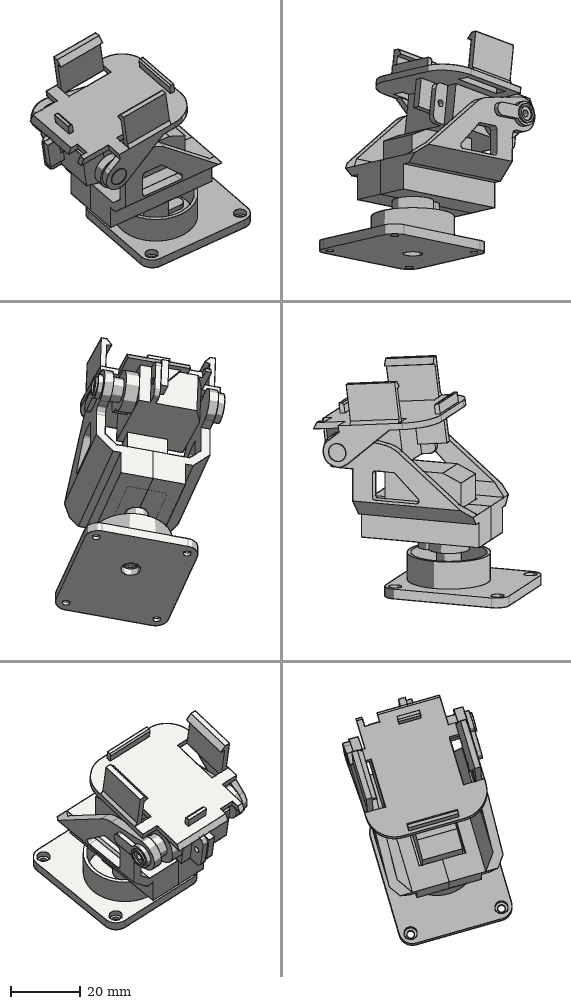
import cadquery as cq
import math


PIVOT_Y = -27.2
PIVOT_Z = 42.65
TILT_DEGREES = 7.2

BASE_WIDTH = 33.7
BASE_LENGTH = 38.0
BASE_BACK = 23.3
BASE_THICKNESS = 2.9
BASE_CORNER_RADIUS = 3.95
BASE_HOLE_INSET = 3.25
BASE_HOLE_RADIUS = 1.1
BASE_COUNTERBORE_RADIUS = 1.9
BASE_COUNTERBORE_DEPTH = 1.8
RING_RADIUS = 12.05
RING_WALL = 1.05
RING_TOP = 10.95

SERVO_WIDTH = 12.0
SERVO_LENGTH = 23.5
SERVO_HEIGHT = 19.9
SERVO_BOSS_RADIUS = SERVO_WIDTH / 2
SERVO_BOSS_HEIGHT = 3.95
SMALL_BOSS_RADIUS = 3.4
SMALL_BOSS_OFFSET = 5.8
TAPER_LENGTH = 5.6
TAPER_HEIGHT = 2.45
EAR_SPAN = 32.5
EAR_START = 3.4
EAR_THICKNESS = 1.7
EAR_CORNER_RADIUS = 2.0
EAR_HOLE_SPACING = 27.7
EAR_HOLE_RADIUS = 1.0
PAN_SERVO_Z = 15.9
TILT_SERVO_X = -6.9
SERVO_CENTER = SERVO_BOSS_RADIUS - SERVO_LENGTH / 2

HUB_RADIUS = 3.55
PAN_HORN_ARM_LENGTH = 9.25
TILT_HORN_ARM_LENGTH = 10.95
HORN_ARM_WIDTH = 3.9
HORN_ARM_THICKNESS = 1.4
HORN_RIM_RADIUS = 2.8
HORN_RIM_HEIGHT = 0.6
HORN_RECESS_RADIUS = 2.15
HORN_SCREW_RADIUS = 1.0
PAN_BOSS_FACE_Z = PAN_SERVO_Z - SERVO_BOSS_HEIGHT
TILT_BOSS_FACE_X = TILT_SERVO_X - SERVO_BOSS_HEIGHT

BRACKET_FRONT = -23.3
BRACKET_BACK = 12.9
BRACKET_BOTTOM = 15.6
BLOCK_HALF_WIDTH = 9.7
BLOCK_SHOULDER_Z = 23.05
DECK_Z = 25.7
DECK_HALF_WIDTH = 11.0
SHOULDER_HALF_WIDTH = 12.05
ARM_INSIDE = 14.4
ARM_OUTSIDE = 17.1
ARM_EYE_RADIUS = 5.05
ARM_APEX_Y = -11.05
ARM_APEX_Z = 45.1
ARM_APEX_RADIUS = 9.05
ARM_THROAT_RADIUS = 1.95
WINDOW_FRONT = -17.15
WINDOW_BACK = -2.9
WINDOW_APEX_Y = -10.4
WINDOW_BOTTOM = 28.9
WINDOW_TOP = 37.6
WINDOW_BACK_HEIGHT = 1.3
WINDOW_CORNER_RADIUS = 0.9
POCKET_WIDTH = 14.0

PIN_RADIUS = 2.65
PIN_END = 19.35

PLATE_CENTER_X = 1.15
PLATE_WIDTH = 36.0
PLATE_NOSE_WIDTH = 25.05
PLATE_BACK = 29.8
PLATE_SHOULDER = 1.2
PLATE_FRONT = -8.75
PLATE_BOTTOM = SERVO_WIDTH / 2
PLATE_THICKNESS = 1.9
PLATE_TOP = PLATE_BOTTOM + PLATE_THICKNESS
PLATE_BACK_RADIUS = 8.75
PLATE_BEVEL = 1.2
NOTCH_LEFT = 7.4
NOTCH_WIDTH = 4.5
NOTCH_BACK = -5.25

CLIP_FRONT = 4.85
CLIP_BACK = 19.95
CLIP_OUTSIDE = 17.15
CLIP_THICKNESS = 1.7
CLIP_TOP = 19.75
CLIP_HOOK_REACH = 1.5
CLIP_HOOK_SLOPE = 1.8
CLIP_HOOK_UNDERCUT = 0.4
CLIP_FOOT_HEIGHT = 1.05
SLOT_INSIDE = 11.7

STOP_THICKNESS = 1.5
STOP_HEIGHT = 3.0
STOP_CHAMFER = 0.5
BACK_STOP_Y = 27.4
BACK_STOP_CENTER_X = 1.0
BACK_STOP_WIDTH = 15.1
FRONT_STOP_Y = -4.45
FRONT_STOP_CENTER_X = -1.05
FRONT_STOP_WIDTH = 6.65

POST_THICKNESS = 2.1
POST_BOTTOM = -2.65
POST_BACK = 26.55
POST_FRONT = -10.95
GUSSET_WIDTH = 4.65
GUSSET_DROP = 5.45
GUSSET_THICKNESS = 1.0
LUG_RADIUS = 4.4
LUG_INSIDE = ARM_OUTSIDE
LUG_OUTSIDE = PLATE_CENTER_X + PLATE_WIDTH / 2
LUG_ROOT_FRONT = PLATE_SHOULDER
LUG_ROOT_BACK = 16.8


def block(x0, x1, y0, y1, z0, z1):
    """Box between two values along each axis."""
    size = (x1 - x0, y1 - y0, z1 - z0)
    return cq.Workplane("XY").box(*size, centered=False).translate((x0, y0, z0))


def x_cylinder(radius, x0, x1, y=0.0, z=0.0):
    """Cylinder along X around the line through (y, z)."""
    return cq.Workplane("YZ", origin=(x0, 0, 0)).center(y, z).circle(radius).extrude(x1 - x0)


def tangent_point(point, center, radius, side):
    """Point where a line from `point` touches a circle; side = 1 or -1 picks one of the two."""
    away_y = point[0] - center[0]
    away_z = point[1] - center[1]
    bearing = math.atan2(away_z, away_y)
    bearing += side * math.acos(radius / math.hypot(away_y, away_z))
    return (center[0] + radius * math.cos(bearing), center[1] + radius * math.sin(bearing))


def tilted(head_part):
    """Move a part from the head's own frame to its tilted place on the pivot."""
    turned = head_part.rotate((0, 0, 0), (1, 0, 0), TILT_DEGREES)
    return turned.translate((0, PIVOT_Y, PIVOT_Z))


def make_base():
    center_y = BASE_BACK - BASE_LENGTH / 2
    plate = (
        cq.Workplane("XY")
        .rect(BASE_WIDTH, BASE_LENGTH)
        .extrude(BASE_THICKNESS)
        .edges("|Z")
        .fillet(BASE_CORNER_RADIUS)
        .faces(">Z")
        .workplane()
        .rect(BASE_WIDTH - 2 * BASE_HOLE_INSET, BASE_LENGTH - 2 * BASE_HOLE_INSET, forConstruction=True)
        .vertices()
        .cboreHole(2 * BASE_HOLE_RADIUS, 2 * BASE_COUNTERBORE_RADIUS, BASE_COUNTERBORE_DEPTH)
        .translate((0, center_y, 0))
    )
    ring = (
        cq.Workplane("XY", origin=(0, 0, BASE_THICKNESS))
        .circle(RING_RADIUS)
        .circle(RING_RADIUS - RING_WALL)
        .extrude(RING_TOP - BASE_THICKNESS)
    )
    rim_hole = cq.Workplane("XY").circle(HORN_RIM_RADIUS).extrude(BASE_THICKNESS)
    return plate.union(ring).cut(rim_hole)


def make_servo():
    half_width = SERVO_WIDTH / 2
    back = SERVO_BOSS_RADIUS
    body = (
        cq.Workplane("YZ", origin=(-half_width, 0, 0))
        .polyline([
            (back - SERVO_LENGTH, 0),
            (back, 0),
            (back, SERVO_HEIGHT - TAPER_HEIGHT),
            (back - TAPER_LENGTH, SERVO_HEIGHT),
            (back - SERVO_LENGTH, SERVO_HEIGHT),
        ])
        .close()
        .extrude(SERVO_WIDTH)
    )
    boss = cq.Workplane("XY").circle(SERVO_BOSS_RADIUS).extrude(-SERVO_BOSS_HEIGHT)
    small_boss = (
        cq.Workplane("XY")
        .center(0, -SMALL_BOSS_OFFSET / 2)
        .slot2D(SMALL_BOSS_OFFSET + 2 * SMALL_BOSS_RADIUS, 2 * SMALL_BOSS_RADIUS, 90)
        .extrude(-SERVO_BOSS_HEIGHT)
    )
    ears = (
        cq.Workplane("XY", origin=(0, SERVO_CENTER, EAR_START))
        .rect(SERVO_WIDTH, EAR_SPAN)
        .extrude(EAR_THICKNESS)
        .edges("|Z")
        .fillet(EAR_CORNER_RADIUS)
        .faces(">Z")
        .workplane()
        .rarray(0.65, EAR_HOLE_SPACING, 1, 2)
        .hole(2 * EAR_HOLE_RADIUS)
    )
    return ears.union(body).union(boss).union(small_boss)


def make_horn(hub_length, arm_length):
    hub = cq.Workplane("XY").circle(HUB_RADIUS).extrude(-hub_length)
    arm = (
        cq.Workplane("XY", origin=(0, 0, -hub_length))
        .center(0, (arm_length - HORN_ARM_WIDTH / 2) / 2)
        .slot2D(arm_length + HORN_ARM_WIDTH / 2, HORN_ARM_WIDTH, 90)
        .extrude(HORN_ARM_THICKNESS)
    )
    rim = (
        cq.Workplane("XY", origin=(0, 0, -hub_length))
        .circle(HORN_RIM_RADIUS)
        .circle(HORN_RECESS_RADIUS)
        .extrude(-HORN_RIM_HEIGHT)
    )
    screw_hole = cq.Workplane("XY").circle(HORN_SCREW_RADIUS).extrude(-hub_length)
    return hub.union(arm).union(rim).cut(screw_hole)


def bracket_side_shape():
    """Side shape of the bracket, extruded over its full width along X."""
    apex = (ARM_APEX_Y, ARM_APEX_Z)
    touch = tangent_point(apex, (PIVOT_Y, PIVOT_Z), ARM_EYE_RADIUS, 1)
    eye_bottom = PIVOT_Z - ARM_EYE_RADIUS
    return (
        cq.Workplane("YZ", origin=(-ARM_OUTSIDE, 0, 0))
        .moveTo(BRACKET_FRONT, BRACKET_BOTTOM)
        .lineTo(BRACKET_BACK, BRACKET_BOTTOM)
        .lineTo(BRACKET_BACK, DECK_Z)
        .lineTo(*apex)
        .lineTo(*touch)
        .threePointArc((PIVOT_Y - ARM_EYE_RADIUS, PIVOT_Z), (PIVOT_Y, eye_bottom))
        .lineTo(BRACKET_FRONT, eye_bottom)
        .close()
        .extrude(2 * ARM_OUTSIDE)
        .edges(cq.NearestToPointSelector((0, *apex)))
        .fillet(ARM_APEX_RADIUS)
    )


def bracket_window():
    """Window through both arms, its back edge sloping up to the front."""
    return (
        cq.Workplane("YZ", origin=(-ARM_OUTSIDE, 0, 0))
        .polyline([
            (WINDOW_FRONT, WINDOW_BOTTOM),
            (WINDOW_BACK, WINDOW_BOTTOM),
            (WINDOW_BACK, WINDOW_BOTTOM + WINDOW_BACK_HEIGHT),
            (WINDOW_APEX_Y, WINDOW_TOP),
            (WINDOW_FRONT, WINDOW_TOP),
        ])
        .close()
        .extrude(2 * ARM_OUTSIDE)
        .edges("|X")
        .fillet(WINDOW_CORNER_RADIUS)
    )


def make_bracket_half(side, servo):
    """Half of the bracket on the -X side (side = -1) or the +X side (side = 1)."""
    arm_top = ARM_APEX_Z + ARM_EYE_RADIUS
    half = (
        cq.Workplane("XZ", origin=(0, BRACKET_BACK, 0))
        .polyline([
            (0, BRACKET_BOTTOM),
            (side * BLOCK_HALF_WIDTH, BRACKET_BOTTOM),
            (side * BLOCK_HALF_WIDTH, BLOCK_SHOULDER_Z),
            (side * SHOULDER_HALF_WIDTH, BLOCK_SHOULDER_Z),
            (side * ARM_OUTSIDE, BLOCK_SHOULDER_Z + ARM_OUTSIDE - SHOULDER_HALF_WIDTH),
            (side * ARM_OUTSIDE, arm_top),
            (side * ARM_INSIDE, arm_top),
            (side * ARM_INSIDE, DECK_Z + ARM_INSIDE - DECK_HALF_WIDTH),
            (side * DECK_HALF_WIDTH, DECK_Z),
            (0, DECK_Z),
        ])
        .close()
        .extrude(BRACKET_BACK - PIVOT_Y + ARM_EYE_RADIUS)
    )
    pocket = block(
        -POCKET_WIDTH / 2,
        POCKET_WIDTH / 2,
        SERVO_BOSS_RADIUS - SERVO_LENGTH,
        SERVO_BOSS_RADIUS,
        PAN_SERVO_Z + EAR_START,
        DECK_Z,
    )
    half = half.intersect(bracket_side_shape()).cut(bracket_window()).cut(pocket)
    ear_slot = (
        cq.Workplane("XY", origin=(0, SERVO_CENTER, PAN_SERVO_Z + EAR_START))
        .rect(SERVO_WIDTH, EAR_SPAN)
        .extrude(EAR_THICKNESS)
    )
    return half.cut(servo).cut(ear_slot)


def clip_outline(side):
    """Cross-section of a side clip, with its foot and its inward hook."""
    outside = CLIP_OUTSIDE
    inside = CLIP_OUTSIDE - CLIP_THICKNESS
    hook_tip = inside - CLIP_HOOK_REACH
    tip_z = CLIP_TOP - CLIP_HOOK_SLOPE
    points = [
        (inside, PLATE_BOTTOM),
        (PLATE_WIDTH / 2, PLATE_BOTTOM),
        (PLATE_WIDTH / 2, PLATE_TOP),
        (outside, PLATE_TOP + CLIP_FOOT_HEIGHT),
        (outside, CLIP_TOP),
        (inside, CLIP_TOP),
        (hook_tip, tip_z),
        (inside, tip_z - CLIP_HOOK_UNDERCUT),
    ]
    return [(PLATE_CENTER_X + side * x, z) for x, z in points]


def make_clip(side):
    return (
        cq.Workplane("XZ", origin=(0, CLIP_BACK, 0))
        .polyline(clip_outline(side))
        .close()
        .extrude(CLIP_BACK - CLIP_FRONT)
    )


def make_slot(side):
    inner = PLATE_CENTER_X + side * SLOT_INSIDE
    outer = PLATE_CENTER_X + side * (CLIP_OUTSIDE - CLIP_THICKNESS)
    return block(min(inner, outer), max(inner, outer), CLIP_FRONT, CLIP_BACK, PLATE_BOTTOM, PLATE_TOP)


def make_stop(center_x, y, width, inner_edge):
    """End stop whose top is chamfered along the edge that faces the phone."""
    left = center_x - width / 2
    stop = block(left, left + width, y, y + STOP_THICKNESS, PLATE_TOP, PLATE_TOP + STOP_HEIGHT)
    return stop.faces(">Z").edges(inner_edge).chamfer(STOP_CHAMFER)


def plate_panel():
    left = PLATE_CENTER_X - PLATE_WIDTH / 2
    nose_left = PLATE_CENTER_X - PLATE_NOSE_WIDTH / 2
    wide = (
        block(left, left + PLATE_WIDTH, PLATE_SHOULDER, PLATE_BACK, PLATE_BOTTOM, PLATE_TOP)
        .edges("|Z and >Y")
        .fillet(PLATE_BACK_RADIUS)
    )
    nose = (
        cq.Workplane("YZ", origin=(nose_left, 0, 0))
        .polyline([
            (PLATE_SHOULDER, PLATE_BOTTOM),
            (PLATE_FRONT, PLATE_BOTTOM),
            (PLATE_FRONT + PLATE_BEVEL, PLATE_TOP),
            (PLATE_SHOULDER, PLATE_TOP),
        ])
        .close()
        .extrude(PLATE_NOSE_WIDTH)
    )
    notch = block(
        NOTCH_LEFT, NOTCH_LEFT + NOTCH_WIDTH, PLATE_FRONT, NOTCH_BACK, PLATE_BOTTOM, PLATE_TOP
    )
    return wide.union(nose).cut(notch)


def servo_posts():
    """Posts behind the tilt servo's ears, the front one with a gusset."""
    left = TILT_SERVO_X + EAR_START + EAR_THICKNESS
    right = left + POST_THICKNESS
    servo_front = -SERVO_BOSS_RADIUS
    servo_back = SERVO_LENGTH - SERVO_BOSS_RADIUS
    back_post = block(left, right, servo_back, POST_BACK, POST_BOTTOM, PLATE_BOTTOM)
    front_post = block(left, right, POST_FRONT, servo_front, POST_BOTTOM, PLATE_BOTTOM)
    gusset = (
        cq.Workplane("XZ", origin=(0, servo_front, 0))
        .polyline([
            (right, PLATE_BOTTOM),
            (right + GUSSET_WIDTH, PLATE_BOTTOM),
            (right, PLATE_BOTTOM - GUSSET_DROP),
        ])
        .close()
        .extrude(GUSSET_THICKNESS)
    )
    return back_post.union(front_post).union(gusset)


def pivot_lug():
    """Lug under the +X edge of the plate that turns on the bracket's pin."""
    root_front = (LUG_ROOT_FRONT, PLATE_BOTTOM)
    root_back = (LUG_ROOT_BACK, PLATE_BOTTOM)
    pivot = (0, 0)
    return (
        cq.Workplane("YZ", origin=(LUG_INSIDE, 0, 0))
        .moveTo(*root_back)
        .lineTo(*root_front)
        .lineTo(*tangent_point(root_front, pivot, LUG_RADIUS, 1))
        .threePointArc((0, -LUG_RADIUS), tangent_point(root_back, pivot, LUG_RADIUS, -1))
        .close()
        .extrude(LUG_OUTSIDE - LUG_INSIDE)
        .cut(x_cylinder(PIN_RADIUS, LUG_INSIDE, LUG_OUTSIDE))
    )


def make_phone_plate():
    plate = plate_panel()
    for side in (-1, 1):
        plate = plate.cut(make_slot(side)).union(make_clip(side))
    plate = plate.union(make_stop(BACK_STOP_CENTER_X, BACK_STOP_Y, BACK_STOP_WIDTH, "<Y"))
    plate = plate.union(make_stop(FRONT_STOP_CENTER_X, FRONT_STOP_Y, FRONT_STOP_WIDTH, ">Y"))
    return plate.union(servo_posts()).union(pivot_lug())


base = make_base()
pan_servo = make_servo().translate((0, 0, PAN_SERVO_Z))
pan_hub_length = PAN_BOSS_FACE_Z - BASE_THICKNESS
pan_horn = make_horn(pan_hub_length, PAN_HORN_ARM_LENGTH).translate((0, 0, PAN_BOSS_FACE_Z))

tilt_servo = tilted(
    make_servo()
    .rotate((0, 0, 0), (0, 0, 1), 180)
    .rotate((0, 0, 0), (0, 1, 0), 90)
    .translate((TILT_SERVO_X, 0, 0))
)
tilt_hub_length = TILT_BOSS_FACE_X + ARM_OUTSIDE + HORN_ARM_THICKNESS
tilt_horn = (
    make_horn(tilt_hub_length, TILT_HORN_ARM_LENGTH)
    .rotate((0, 0, 0), (0, 1, 0), 90)
    .translate((TILT_BOSS_FACE_X, PIVOT_Y, PIVOT_Z))
)
phone_plate = tilted(make_phone_plate())

horn_hole = x_cylinder(HUB_RADIUS, -ARM_OUTSIDE, -ARM_INSIDE, PIVOT_Y, PIVOT_Z)
pivot_pin = x_cylinder(PIN_RADIUS, ARM_INSIDE, PIN_END, PIVOT_Y, PIVOT_Z)
arm_throat = cq.NearestToPointSelector((-ARM_OUTSIDE, BRACKET_FRONT, PIVOT_Z - ARM_EYE_RADIUS))
horn_bracket_half = (
    make_bracket_half(-1, pan_servo)
    .edges("|X")
    .edges(arm_throat)
    .fillet(ARM_THROAT_RADIUS)
    .cut(horn_hole)
)
pin_bracket_half = make_bracket_half(1, pan_servo).union(pivot_pin)

bodies = [
    base,
    pan_servo,
    pan_horn,
    horn_bracket_half,
    pin_bracket_half,
    tilt_servo,
    tilt_horn,
    phone_plate,
]
result = cq.Compound.makeCompound([body.solids().val() for body in bodies])